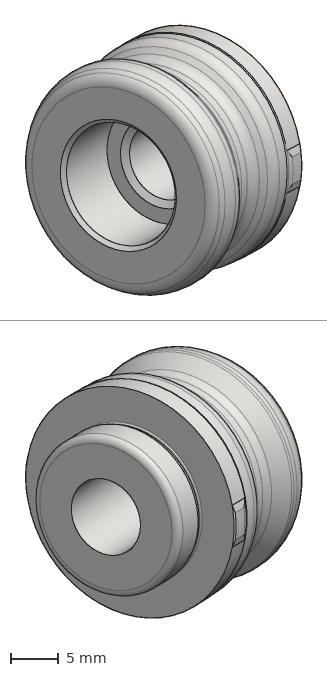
import cadquery as cq
import math

LENGTH = 20.3

BODY_RADIUS = 12.78
GROOVE_RADIUS = 11.0
NOSE_ANGLE = 28.0
NOSE_TIP_ROUND = 1.45
NOSE_SIDE_ROUND = 3.15
NOSE_END = 2.85
FRONT_LAND_END = 3.48
FRONT_FLANK_ANGLE = 35.0
FRONT_LIP_ROUND = 0.52
GROOVE_ROUND = 2.0
GROOVE_FLOOR_START = 6.8
GROOVE_FLOOR_END = 7.9
REAR_FLANK_ANGLE = 45.0
BODY_END = 12.8

FLANGE_RADIUS = 12.847
FLANGE_START = 13.0
FLANGE_END = 15.5
HUB_RADIUS = 9.0
HUB_START = 16.45
HUB_ROUND = 0.83
NECK_RADIUS = 8.75
NECK_START = 15.85
NECK_FILLET = 0.15

BORE_RADIUS = 4.25
BORE_CHAMFER_WIDTH = 0.83
BORE_CHAMFER_DEPTH = 0.47
COUNTERBORE_RADIUS = 6.78
COUNTERBORE_DEPTH = 8.3
MOUTH_CHAMFER = 0.47

PAD_RADIUS = 13.0
PAD_ROOT_RADIUS = 12.63
PAD_TOP_HALF_WIDTH = 1.53
PAD_ROOT_HALF_WIDTH = 2.4
PAD_FRONT = 13.61
PAD_BACK = 15.33


def bend_points(radius, position, round_radius, angle, side, direction):
    """Middle and far point of an arc that leaves a straight line parallel to the axis.

    side is +1 when the arc rises from the line and -1 when it falls;
    direction is +1 when it runs toward the back and -1 toward the front.
    """
    points = []
    for turn in (math.radians(angle / 2), math.radians(angle)):
        rise = side * round_radius * (1 - math.cos(turn))
        run = direction * round_radius * math.sin(turn)
        points.append((radius + rise, position + run))
    return points


def make_turned_body():
    nose_turn = math.radians(NOSE_ANGLE)
    nose_middle, nose_start = bend_points(
        BODY_RADIUS, NOSE_END, NOSE_SIDE_ROUND, NOSE_ANGLE, -1, -1
    )
    tip_end_y = NOSE_TIP_ROUND * (1 - math.sin(nose_turn))
    tip_end_radius = nose_start[0] - (nose_start[1] - tip_end_y) * math.tan(nose_turn)
    face_radius = tip_end_radius - NOSE_TIP_ROUND * math.cos(nose_turn)
    tip_middle_turn = (nose_turn + math.pi / 2) / 2
    tip_middle = (
        face_radius + NOSE_TIP_ROUND * math.cos(tip_middle_turn),
        NOSE_TIP_ROUND * (1 - math.sin(tip_middle_turn)),
    )

    lip_middle, lip_end = bend_points(
        BODY_RADIUS, FRONT_LAND_END, FRONT_LIP_ROUND, FRONT_FLANK_ANGLE, -1, 1
    )
    front_middle, front_start = bend_points(
        GROOVE_RADIUS, GROOVE_FLOOR_START, GROOVE_ROUND, FRONT_FLANK_ANGLE, 1, -1
    )
    rear_middle, rear_end = bend_points(
        GROOVE_RADIUS, GROOVE_FLOOR_END, GROOVE_ROUND, REAR_FLANK_ANGLE, 1, 1
    )
    bend_run = GROOVE_ROUND * math.sin(math.radians(REAR_FLANK_ANGLE))
    bend_rise = rear_end[0] - GROOVE_RADIUS
    flank_rise = BODY_RADIUS - GROOVE_RADIUS - 2 * bend_rise
    flank_run = flank_rise / math.tan(math.radians(REAR_FLANK_ANGLE))
    rear_land_start = rear_end[1] + flank_run + bend_run
    shoulder_middle, shoulder_start = bend_points(
        BODY_RADIUS, rear_land_start, GROOVE_ROUND, REAR_FLANK_ANGLE, -1, -1
    )

    round_middle = HUB_ROUND * (1 - math.sqrt(0.5))
    fillet_middle = NECK_FILLET * (1 - math.sqrt(0.5))
    profile = (
        cq.Workplane("XY")
        .lineTo(face_radius, 0)
        .threePointArc(tip_middle, (tip_end_radius, tip_end_y))
        .lineTo(*nose_start)
        .threePointArc(nose_middle, (BODY_RADIUS, NOSE_END))
        .lineTo(BODY_RADIUS, FRONT_LAND_END)
        .threePointArc(lip_middle, lip_end)
        .lineTo(*front_start)
        .threePointArc(front_middle, (GROOVE_RADIUS, GROOVE_FLOOR_START))
        .lineTo(GROOVE_RADIUS, GROOVE_FLOOR_END)
        .threePointArc(rear_middle, rear_end)
        .lineTo(*shoulder_start)
        .threePointArc(shoulder_middle, (BODY_RADIUS, rear_land_start))
        .lineTo(BODY_RADIUS, BODY_END)
        .lineTo(FLANGE_RADIUS, FLANGE_START)
        .lineTo(FLANGE_RADIUS, FLANGE_END)
        .lineTo(NECK_RADIUS + NECK_FILLET, FLANGE_END)
        .threePointArc(
            (NECK_RADIUS + fillet_middle, FLANGE_END + fillet_middle),
            (NECK_RADIUS, FLANGE_END + NECK_FILLET),
        )
        .lineTo(NECK_RADIUS, NECK_START)
        .lineTo(HUB_RADIUS, HUB_START)
        .lineTo(HUB_RADIUS, LENGTH - HUB_ROUND)
        .threePointArc(
            (HUB_RADIUS - round_middle, LENGTH - round_middle),
            (HUB_RADIUS - HUB_ROUND, LENGTH),
        )
        .lineTo(0, LENGTH)
        .close()
    )
    return profile.revolve(360, (0, 0, 0), (0, 1, 0))


def make_bore():
    outline = [
        (0, 0),
        (COUNTERBORE_RADIUS + MOUTH_CHAMFER, 0),
        (COUNTERBORE_RADIUS, MOUTH_CHAMFER),
        (COUNTERBORE_RADIUS, COUNTERBORE_DEPTH),
        (BORE_RADIUS + BORE_CHAMFER_WIDTH, COUNTERBORE_DEPTH),
        (BORE_RADIUS, COUNTERBORE_DEPTH + BORE_CHAMFER_DEPTH),
        (BORE_RADIUS, LENGTH),
        (0, LENGTH),
    ]
    return cq.Workplane("XY").polyline(outline).close().revolve(360, (0, 0, 0), (0, 1, 0))


def make_pads():
    """Both pads: a bar across the part with tapered ends, trimmed to a round outside."""
    top_edge = math.sqrt(PAD_RADIUS**2 - PAD_TOP_HALF_WIDTH**2)
    side_outline = [
        (-PAD_ROOT_RADIUS, -PAD_ROOT_HALF_WIDTH),
        (PAD_ROOT_RADIUS, -PAD_ROOT_HALF_WIDTH),
        (top_edge, -PAD_TOP_HALF_WIDTH),
        (PAD_RADIUS, -PAD_TOP_HALF_WIDTH),
        (PAD_RADIUS, PAD_TOP_HALF_WIDTH),
        (top_edge, PAD_TOP_HALF_WIDTH),
        (PAD_ROOT_RADIUS, PAD_ROOT_HALF_WIDTH),
        (-PAD_ROOT_RADIUS, PAD_ROOT_HALF_WIDTH),
        (-top_edge, PAD_TOP_HALF_WIDTH),
        (-PAD_RADIUS, PAD_TOP_HALF_WIDTH),
        (-PAD_RADIUS, -PAD_TOP_HALF_WIDTH),
        (-top_edge, -PAD_TOP_HALF_WIDTH),
    ]
    bar = cq.Workplane("XZ").polyline(side_outline).close().extrude(-FLANGE_END)
    tapered_disc_outline = [
        (0, BODY_END),
        (BODY_RADIUS, BODY_END),
        (PAD_RADIUS, PAD_FRONT),
        (PAD_RADIUS, PAD_BACK),
        (FLANGE_RADIUS, FLANGE_END),
        (0, FLANGE_END),
    ]
    tapered_disc = (
        cq.Workplane("XY").polyline(tapered_disc_outline).close().revolve(360, (0, 0, 0), (0, 1, 0))
    )
    return bar.intersect(tapered_disc)


result = make_turned_body().union(make_pads()).cut(make_bore())